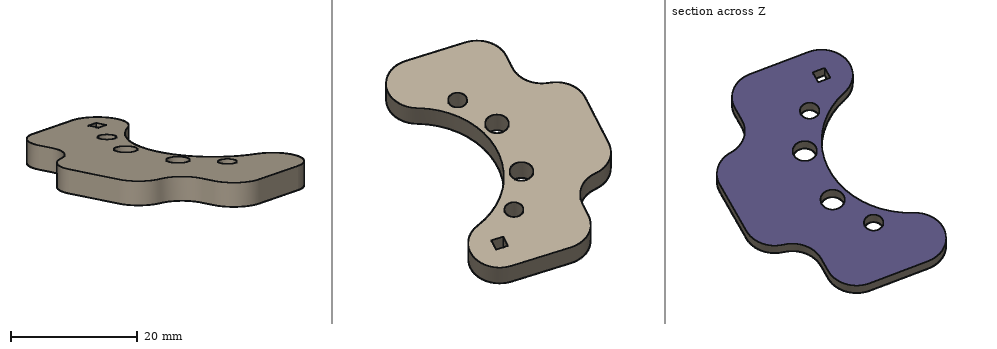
import cadquery as cq
import math

length = 45.0
width = 28.6
thickness = 4.0

corner_radius = 5.0
recess_bottom = 16.95
shoulder_y = 8.45
front_flat_half = 5.0

outer_hole_diameter = 3.0
outer_hole_x = 12.0
outer_hole_y = 19.0
inner_hole_diameter = 3.8
inner_hole_x = 5.2
inner_hole_y = 15.0
square_side = 2.02

lobe_x = length / 2 - corner_radius
lobe_y = width - corner_radius
wing_corner_y = shoulder_y + corner_radius
neck_y = shoulder_y - corner_radius
neck_rise = corner_radius - neck_y
neck_x = front_flat_half + math.sqrt((2 * corner_radius) ** 2 - neck_rise ** 2)

lobe_drop = lobe_y - recess_bottom
recess_radius = (lobe_x ** 2 + lobe_drop ** 2 - corner_radius ** 2) / (2 * (corner_radius + lobe_drop))
recess_y = recess_bottom + recess_radius
lobe_share = corner_radius / (corner_radius + recess_radius)
lobe_end = (lobe_x * (1 - lobe_share), lobe_y + (recess_y - lobe_y) * lobe_share)

neck_end = ((front_flat_half + neck_x) / 2, (corner_radius + neck_y) / 2)


def mirrored(point):
    return (-point[0], point[1])


def make_plate():
    half_length = length / 2
    outline = (
        cq.Workplane("XY")
        .moveTo(-front_flat_half, 0)
        .lineTo(front_flat_half, 0)
        .tangentArcPoint(neck_end, relative=False)
        .tangentArcPoint((neck_x, shoulder_y), relative=False)
        .lineTo(lobe_x, shoulder_y)
        .tangentArcPoint((half_length, wing_corner_y), relative=False)
        .lineTo(half_length, lobe_y)
        .tangentArcPoint(lobe_end, relative=False)
        .threePointArc((0, recess_bottom), mirrored(lobe_end))
        .tangentArcPoint((-half_length, lobe_y), relative=False)
        .lineTo(-half_length, wing_corner_y)
        .tangentArcPoint((-lobe_x, shoulder_y), relative=False)
        .lineTo(-neck_x, shoulder_y)
        .tangentArcPoint(mirrored(neck_end), relative=False)
        .tangentArcPoint((-front_flat_half, 0), relative=False)
        .close()
    )
    return outline.extrude(thickness)


def hole_pair(x, y, diameter):
    return cq.Workplane("XY").pushPoints([(-x, y), (x, y)]).circle(diameter / 2).extrude(thickness)


def square_hole():
    return cq.Workplane("XY").center(-lobe_x, lobe_y).rect(square_side, square_side).extrude(thickness)


result = (
    make_plate()
    .cut(hole_pair(outer_hole_x, outer_hole_y, outer_hole_diameter))
    .cut(hole_pair(inner_hole_x, inner_hole_y, inner_hole_diameter))
    .cut(square_hole())
)